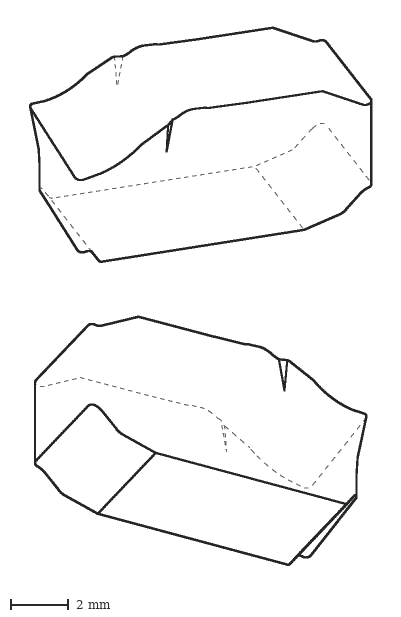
import cadquery as cq
import math

body_width = 3.41
half_body = body_width / 2
stock_half = 3.0
blank_front = -13.2
cutter_size = 48.0

back_bottom = 0.75
back_top = 5.08
back_corner_radius = 0.18
back_slope_foot = -0.31
back_blend = 0.17

front_yaw = 5.0
front_corner_radius = 0.2
lower_front_y = -11.6
edge_y = -11.85
edge_z = 8.0
land_start = (-11.04, 7.85)
notch_base = (-10.84, 2.92)
kink_z = 5.85
front_bottom = 3.82

flank_low_back = (-8.28, 7.2)
flank_low_front_left = (-11.25, 5.06)
flank_low_front_right = (-11.55, 5.1)
flank_lean = 6.5
shoulder_top = (-8.04, 8.71)
shoulder_angle = 29.0


def make_blank_outline():
    """Side outline in the YZ plane, starting at the foot of the back face."""
    land_slope = (edge_z - land_start[1]) / (edge_y - land_start[0])
    land_end_z = land_start[1] + land_slope * (blank_front - land_start[0])
    back_blend_start = (back_slope_foot + back_blend, back_top)
    blend_rise = back_blend * math.sqrt(0.5)
    back_blend_end = (back_slope_foot - blend_rise, back_top + blend_rise)
    return (
        cq.Workplane("YZ")
        .moveTo(0, back_bottom)
        .lineTo(0, back_top)
        .lineTo(*back_blend_start)
        .tangentArcPoint(back_blend_end, relative=False)
        .lineTo(-1.99, 6.75)
        .threePointArc((-2.03, 6.79), (-2.08, 6.82))
        .lineTo(-5.05, 7.91)
        .lineTo(-6.62, 8.52)
        .threePointArc((-6.67, 8.55), (-6.73, 8.6))
        .lineTo(-7.16, 8.78)
        .threePointArc((-7.43, 8.85), (-7.7, 8.8))
        .threePointArc((-7.86, 8.74), shoulder_top)
        .lineTo(-8.36, 8.71)
        .tangentArcPoint((-8.45, 8.69), relative=False)
        .lineTo(-9.34, 8.38)
        .threePointArc((-9.37, 8.36), (-9.41, 8.34))
        .threePointArc((-10.19, 7.93), land_start)
        .lineTo(blank_front, land_end_z)
        .lineTo(blank_front, notch_base[1])
        .lineTo(*notch_base)
        .lineTo(-2.77, 0)
        .lineTo(-1.35, 0)
        .threePointArc((-1.2, 0.04), (-1.07, 0.15))
        .lineTo(-0.53, 0.61)
        .threePointArc((-0.37, 0.71), (-0.18, back_bottom))
        .close()
    )


def make_half_space(start, end, lean, side):
    """Material inside a plane through the side line start-end, leaning out from the body side."""
    run_y = end[0] - start[0]
    run_z = end[1] - start[1]
    length = math.hypot(run_y, run_z)
    tilt = math.sin(math.radians(lean)) / length
    normal = (side * math.cos(math.radians(lean)), run_z * tilt, -run_y * tilt)
    plane = cq.Plane(origin=(side * half_body, *start), xDir=(0, run_y, run_z), normal=normal)
    return cq.Workplane(plane).rect(cutter_size, cutter_size).extrude(-cutter_size)


def make_head(blank):
    """Trim the blank to the two flanks and the shoulders behind them."""
    head = blank
    for side, flank_low_front in ((-1, flank_low_front_left), (1, flank_low_front_right)):
        head = head.intersect(
            make_half_space(flank_low_back, flank_low_front, -flank_lean, side))
        head = head.intersect(
            make_half_space(shoulder_top, flank_low_back, -shoulder_angle, side))
    return head


def make_front_trim():
    """Everything ahead of the yawed front faces."""
    relief_slope = (edge_y - lower_front_y) / (edge_z - kink_z)
    top_z = 12.0
    bottom_z = -1.2
    trim_reach = 6.0
    top_y = lower_front_y + relief_slope * (top_z - kink_z)
    yaw = math.radians(front_yaw)
    plane = cq.Plane(
        origin=(0, lower_front_y, 0),
        xDir=(math.sin(yaw), math.cos(yaw), 0),
        normal=(math.cos(yaw), -math.sin(yaw), 0),
    )
    return (
        cq.Workplane(plane)
        .moveTo(0, bottom_z)
        .lineTo(0, kink_z)
        .lineTo((top_y - lower_front_y) * math.cos(yaw), top_z)
        .lineTo(-trim_reach, top_z)
        .lineTo(-trim_reach, bottom_z)
        .close()
        .extrude(cutter_size / 2, both=True)
    )


def make_nose_notch():
    """Clearance under the nose, blended into the lower front face."""
    return (
        cq.Workplane("YZ")
        .moveTo(*notch_base)
        .threePointArc((-10.95, 2.98), (-11.0, 3.07))
        .lineTo(-11.28, 3.66)
        .tangentArcPoint((-11.52, front_bottom), relative=False)
        .lineTo(blank_front, front_bottom)
        .lineTo(blank_front, notch_base[1])
        .close()
        .extrude(stock_half, both=True)
    )


def make_rounded_back():
    """Plan envelope of the body with its two upright back corners rounded."""
    height = 12.0
    return (
        cq.Workplane("XY")
        .box(body_width, cutter_size, height, centered=(True, True, False))
        .translate((0, -cutter_size / 2, 0))
        .edges("|Z and >Y")
        .fillet(back_corner_radius)
    )


def is_front_corner(edge):
    """True for the upright edges where the front faces meet the sides."""
    min_steepness = 3
    start = edge.startPoint()
    end = edge.endPoint()
    rise = abs(end.z - start.z)
    run = math.hypot(end.x - start.x, end.y - start.y)
    return edge.Center().y < flank_low_front_left[0] and rise > min_steepness * run


def finish_front(solid):
    """Trim a solid to the front faces and round its front corners."""
    trimmed = solid.cut(make_front_trim())
    return trimmed.edges().filter(is_front_corner).fillet(front_corner_radius)


blank = make_blank_outline().extrude(stock_half, both=True)
body = make_blank_outline().extrude(half_body, both=True).intersect(make_rounded_back())
head = make_head(blank)
result = finish_front(body).union(finish_front(head)).cut(make_nose_notch())